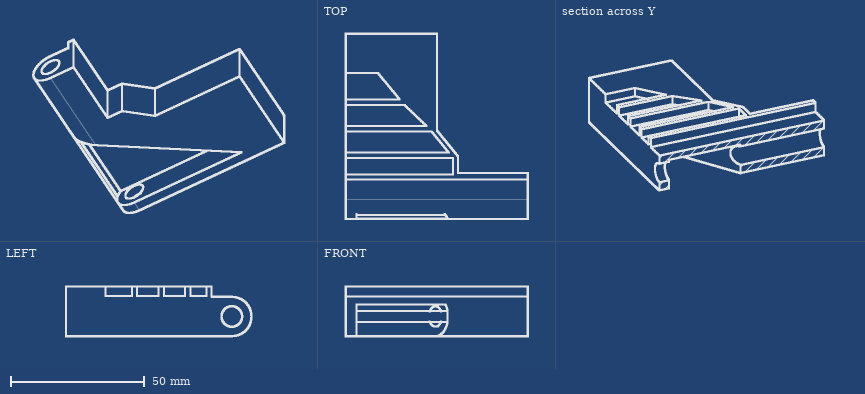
import cadquery as cq

total_length = 68.0
total_depth = 69.3
total_height = 18.6
block_width = 34.1

barrel_height = 14.75
barrel_radius = barrel_height / 2
bore_diameter = 7.6

step_y = 14.9
flange_back_y = 17.25
shoulder_x = 42.0
shoulder_front_y = 23.4
shoulder_back_y = 33.1

pocket_depth = 3.45
top_pockets = [
    (16.8, 22.9, 40.05, 40.05),
    (24.8, 32.7, 38.5, 32.1),
    (34.8, 42.7, 30.15, 21.9),
    (44.7, 54.55, 20.2, 12.05),
]

cavity_left_x = 4.1
cavity_right_x = 38.05
cavity_front_y = 0.3
cavity_back_y = 53.35
cavity_height = 11.9


def plan_prism(points, bottom, top):
    """Extrude a closed plan outline between two heights."""
    return cq.Workplane("XY").workplane(offset=bottom).polyline(points).close().extrude(top - bottom)


def make_body():
    """Intersect the plan outline with the rounded, stepped side profile."""
    plan = plan_prism(
        [
            (0, 0),
            (total_length, 0),
            (total_length, flange_back_y),
            (shoulder_x, flange_back_y),
            (shoulder_x, shoulder_front_y),
            (block_width, shoulder_back_y),
            (block_width, total_depth),
            (0, total_depth),
        ],
        0,
        total_height,
    )
    profile = (
        cq.Workplane("YZ")
        .moveTo(barrel_radius, 0)
        .lineTo(total_depth, 0)
        .lineTo(total_depth, total_height)
        .lineTo(step_y, total_height)
        .lineTo(step_y, barrel_height)
        .lineTo(barrel_radius, barrel_height)
        .threePointArc((0, barrel_radius), (barrel_radius, 0))
        .close()
        .extrude(total_length)
    )
    return plan.intersect(profile)


def make_bore():
    """Hinge pin bore through the full length of the barrel."""
    return (
        cq.Workplane("YZ")
        .center(barrel_radius, barrel_radius)
        .circle(bore_diameter / 2)
        .extrude(total_length)
    )


def make_top_pocket(front_y, back_y, front_end_x, back_end_x):
    """One pocket between neighbouring ribs, with a straight or slanted end."""
    outline = [(0, front_y), (front_end_x, front_y), (back_end_x, back_y), (0, back_y)]
    return plan_prism(outline, total_height - pocket_depth, total_height)


def make_cavity():
    """Triangular underside cavity that leaves a thin sliver at the barrel's front."""
    outline = [
        (cavity_left_x, cavity_front_y),
        (cavity_right_x, cavity_front_y),
        (cavity_left_x, cavity_back_y),
    ]
    return plan_prism(outline, 0, cavity_height)


result = make_body().cut(make_bore()).cut(make_cavity())
for pocket in top_pockets:
    result = result.cut(make_top_pocket(*pocket))